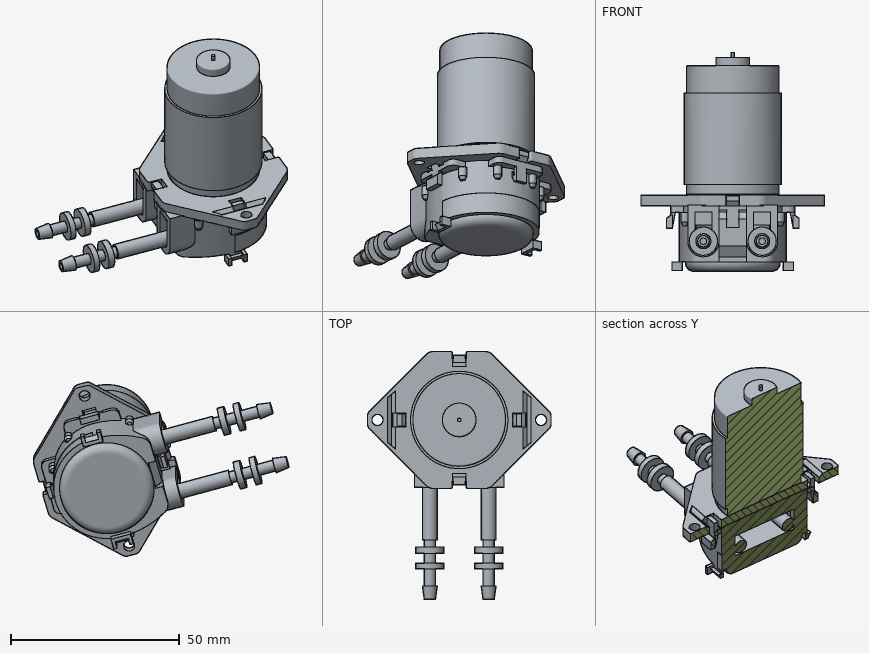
import cadquery as cq
import math


OVERALL_LENGTH = 73.55

PLATE_THICKNESS = 3.2
PLATE_HALF_X = 54.5 / 2
PLATE_HALF_Y = 40.7 / 2
PLATE_DIAGONAL = 29.3
PLATE_END_RADIUS = 2.0
PLATE_SIDE_RADIUS = 2.95
SCREW_HOLE_DIAMETER = 3.2
SCREW_HOLE_X = 24.3

WINDOW_WIDTH = 4.05
WINDOW_INNER = 15.9
WINDOW_OUTER_X = 20.0
NOTCH_MOUTH_RADIUS = 0.5

GROOVE_INNER_X = 18.9
GROOVE_OUTER_X = 21.3
GROOVE_DEPTH = 1.1
GROOVE_INNER_HALF_LENGTH = 8.6
GROOVE_OUTER_HALF_LENGTH = 6.6

PAD_HEIGHT = 1.9
PAD_HALF_WIDTH = 8.5
PAD_OUTER_X = 18.45
PAD_OUTER_Y = 18.25
PAD_RADIUS = 2.0
FRONT_PAD_HEIGHT = 1.2
PAD_RELIEF_HALF_WIDTH = 4.0
PAD_RELIEF_HEIGHT = 0.45
PAD_RELIEF_INNER_X = 17.35

ARM_WIDTH = 3.6
ARM_TOP = 3.0
ARM_BOTTOM = -6.4
SIDE_ARM_BOTTOM = -6.6
GUSSET_TOP = 1.1
ARM_INNER = 17.0
SIDE_HOOK_WIDTH = 5.7
SIDE_HOOK_OUTER_X = 19.7
SIDE_HOOK_TOP = -2.7
SIDE_HOOK_SHOULDER = -3.7
SIDE_FOOT_INNER_X = 17.95
END_HOOK_TIP_Y = 16.0
END_HOOK_TOP = -4.2
END_HOOK_TIP_BOTTOM = -4.7
TAB_OUTER_Y = 19.3
TAB_UNDERSIDE = 1.5

MOTOR_END_DIAMETER = 27.5
MOTOR_BODY_DIAMETER = 28.9
MOTOR_BODY_BOTTOM = 6.3
MOTOR_BODY_TOP = 33.5
MOTOR_TOP = 41.6
MOTOR_EDGE = 0.4
MOTOR_BOSS_DIAMETER = 10.0
MOTOR_BOSS_TOP = 44.1
SHAFT_DIAMETER = 1.0
SHAFT_TOP = 45.6

HEAD_RADIUS = 15.9
HEAD_FLOOR = -16.55
HEAD_FRONT_Y = -16.1
HEAD_FLANK_RADIUS = 29.05
HEAD_FRONT_CORNER_RADIUS = 3.2
DISH_DIAMETER = 28.1
DISH_BOTTOM = -19.4
DISH_EDGE_RADIUS = 2.5
CHAMBER_DIAMETER = 21.85
CHAMBER_TOP = -5.6

PORT_X = 17.4 / 2
PORT_Z = -10.45
PORT_WIDTH = 9.3
PORT_TOP = 0.2
PORT_FRONT_Y = -20.0
PORT_REAR_Y = -11.85
SLOT_WIDTH = 5.0
SLOT_TOP = -1.85
SLOT_UPPER_DEPTH = 1.85

BRIDGE_FRONT_Y = -15.9
BRIDGE_RAMP_TOP = -1.85
BRIDGE_RAMP_BOTTOM = -3.8
BRIDGE_SLOPE_TOP = -11.85
BRIDGE_SLOPE_BOTTOM = -15.1
BRIDGE_REAR_Y = BRIDGE_FRONT_Y + BRIDGE_RAMP_TOP - BRIDGE_RAMP_BOTTOM

CATCH_Y = 16.85
CATCH_ROOT_Y = 15.45
CATCH_RAMP_BOTTOM = -3.8
CATCH_BOTTOM = -4.05
REAR_STEP_Z = -10.4
REAR_STEP_DEPTH = 0.1

PEG_DIAMETER = 2.5
PEG_CYLINDER_BOTTOM = -4.8
PEG_BOTTOM = -5.9
PEG_TIP_DIAMETER = 1.3
PEG_POSITIONS = [(14.05, -10.95), (14.05, 7.9), (6.25, 14.85)]

HANDLE_INNER_X = 14.9
HANDLE_OUTER_X = 18.1
HANDLE_BOTTOM = -19.2
HANDLE_HALF_WIDTH = 3.0
HANDLE_POST_WIDTH = 1.0
HANDLE_BAR_OUTER_X = 17.1
HANDLE_BAR_LOWER_X = 16.0
HANDLE_BAR_TOP = -17.35

HOSE_DIAMETER = 4.5
HOSE_INNER_END_Y = 6.6
HOSE_END_Y = -35.6
NECK_DIAMETER = 3.4
COLLAR_DIAMETER = 8.4
COLLAR_SPANS = [(-37.65, -39.6), (-42.5, -44.2)]
BARB_START_Y = -49.2
TIP_Y = PLATE_HALF_Y - OVERALL_LENGTH
BORE_DIAMETER = 2.0
BORE_END_Y = -32.6


def block(x_range, y_range, z_range):
    """Box between the given limits."""
    (x0, x1), (y0, y1), (z0, z1) = x_range, y_range, z_range
    return cq.Workplane("XY").box(x1 - x0, y1 - y0, z1 - z0, centered=False).translate((x0, y0, z0))


def cylinder(diameter, bottom, top):
    """Upright cylinder on the motor axis."""
    return cq.Workplane("XY").workplane(offset=bottom).circle(diameter / 2).extrude(top - bottom)


def both_x_sides(body):
    """The body together with its mirror image on the other side of X = 0."""
    return body.union(body.mirror("YZ"))


def profile_along_x(points, width):
    """Prism along X, centred on X = 0, from a (y, z) outline."""
    return cq.Workplane("YZ").polyline(points).close().extrude(width / 2, both=True)


def profile_along_y(points, width):
    """Prism along Y, centred on Y = 0, from an (x, z) outline."""
    return cq.Workplane("XZ").polyline(points).close().extrude(width / 2, both=True)


def make_motor():
    lower_end = cylinder(MOTOR_END_DIAMETER, PLATE_THICKNESS, MOTOR_BODY_BOTTOM)
    lower_end = lower_end.edges("<Z").chamfer(MOTOR_EDGE)
    upper_end = cylinder(MOTOR_END_DIAMETER, MOTOR_BODY_TOP, MOTOR_TOP).edges(">Z").fillet(MOTOR_EDGE)
    can = cylinder(MOTOR_BODY_DIAMETER, MOTOR_BODY_BOTTOM, MOTOR_BODY_TOP)
    boss = cylinder(MOTOR_BOSS_DIAMETER, MOTOR_TOP, MOTOR_BOSS_TOP).edges(">Z").fillet(MOTOR_EDGE)
    shaft = cylinder(SHAFT_DIAMETER, MOTOR_BOSS_TOP, SHAFT_TOP)
    return can.union(lower_end).union(upper_end).union(boss).union(shaft)


def head_wall(bottom):
    """Round at the rear, with flatter flanks running to a flat front with rounded corners."""
    flank_centre = HEAD_FLANK_RADIUS - HEAD_RADIUS

    def flank_x(y):
        return math.sqrt(HEAD_FLANK_RADIUS**2 - y**2) - flank_centre

    front_x = flank_x(HEAD_FRONT_Y)
    middle_y = HEAD_FRONT_Y / 2
    return (
        cq.Workplane("XY")
        .workplane(offset=bottom)
        .moveTo(HEAD_RADIUS, 0)
        .threePointArc((0, HEAD_RADIUS), (-HEAD_RADIUS, 0))
        .threePointArc((-flank_x(middle_y), middle_y), (-front_x, HEAD_FRONT_Y))
        .lineTo(front_x, HEAD_FRONT_Y)
        .threePointArc((flank_x(middle_y), middle_y), (HEAD_RADIUS, 0))
        .close()
        .extrude(-bottom)
        .edges("|Z and <Y")
        .fillet(HEAD_FRONT_CORNER_RADIUS)
    )


def round_bottomed(width, top, y_range):
    """Block at the +X port with a half-round underside about the port axis."""
    y0, y1 = y_range
    upper = block((PORT_X - width / 2, PORT_X + width / 2), y_range, (PORT_Z, top))
    lower = (
        cq.Workplane("XZ", origin=(PORT_X, y1, PORT_Z))
        .circle(width / 2)
        .extrude(y1 - y0)
    )
    return upper.union(lower)


def port_slots():
    """Openings for the hoses: shallow above, and open to the chamber below."""
    shallow = round_bottomed(SLOT_WIDTH, SLOT_TOP, (PORT_FRONT_Y, PORT_FRONT_Y + SLOT_UPPER_DEPTH))
    deep = round_bottomed(SLOT_WIDTH, CHAMBER_TOP, (PORT_FRONT_Y, 0))
    return both_x_sides(shallow.union(deep))


def bridge_gap_and_wall():
    """The gap cut between the ports, and the sloped wall that stands in it."""
    half_width = PORT_X - PORT_WIDTH / 2
    gap = block((-half_width, half_width), (PORT_FRONT_Y, BRIDGE_REAR_Y), (HEAD_FLOOR, PORT_TOP))
    wall = profile_along_x(
        [
            (BRIDGE_REAR_Y, BRIDGE_RAMP_TOP),
            (BRIDGE_FRONT_Y, BRIDGE_RAMP_BOTTOM),
            (BRIDGE_FRONT_Y, BRIDGE_SLOPE_TOP),
            (BRIDGE_REAR_Y, BRIDGE_SLOPE_BOTTOM),
        ],
        2 * half_width,
    )
    return gap, wall


def rear_catch():
    """Wedge on the rear wall that the hook of the rear arm snaps under."""
    ramp_height = CATCH_Y - CATCH_ROOT_Y
    return profile_along_x(
        [
            (CATCH_ROOT_Y, CATCH_RAMP_BOTTOM + ramp_height),
            (CATCH_Y, CATCH_RAMP_BOTTOM),
            (CATCH_Y, CATCH_BOTTOM),
            (CATCH_ROOT_Y, CATCH_BOTTOM),
        ],
        ARM_WIDTH,
    )


def rear_step():
    """Sliver removed from the lower part of the rear wall, which leaves a shallow step."""
    outside = block((-HEAD_RADIUS, HEAD_RADIUS), (0, HEAD_RADIUS), (HEAD_FLOOR, REAR_STEP_Z))
    kept = cylinder(2 * (HEAD_RADIUS - REAR_STEP_DEPTH), HEAD_FLOOR, REAR_STEP_Z)
    return outside.cut(kept)


def dish():
    bottom = cylinder(DISH_DIAMETER, DISH_BOTTOM, HEAD_FLOOR)
    return bottom.faces("<Z").edges().fillet(DISH_EDGE_RADIUS)


def peg(x, y):
    """Boss on the head wall with a tapered lower end."""
    straight = cylinder(PEG_DIAMETER, PEG_CYLINDER_BOTTOM, -PAD_HEIGHT)
    taper = cq.Workplane("XY").add(
        cq.Solid.makeCone(
            PEG_TIP_DIAMETER / 2,
            PEG_DIAMETER / 2,
            PEG_CYLINDER_BOTTOM - PEG_BOTTOM,
            pnt=cq.Vector(0, 0, PEG_BOTTOM),
        )
    )
    return straight.union(taper).translate((x, y, 0))


def handle():
    """Two posts at +X, joined by a bar under a short extension of the head wall."""
    inner_y = HANDLE_HALF_WIDTH - HANDLE_POST_WIDTH
    bar = profile_along_y(
        [
            (HANDLE_INNER_X, HANDLE_BAR_TOP),
            (HANDLE_BAR_OUTER_X, HANDLE_BAR_TOP),
            (HANDLE_BAR_LOWER_X, HANDLE_BOTTOM),
            (HANDLE_INNER_X, HANDLE_BOTTOM),
        ],
        2 * inner_y,
    )
    extension = head_wall(HANDLE_BAR_TOP).intersect(
        block((HANDLE_INNER_X, HANDLE_OUTER_X), (-inner_y, inner_y), (HANDLE_BAR_TOP, HEAD_FLOOR))
    )
    post = block(
        (HANDLE_INNER_X, HANDLE_OUTER_X), (inner_y, HANDLE_HALF_WIDTH), (HANDLE_BOTTOM, HEAD_FLOOR)
    )
    return bar.union(extension).union(post).union(post.mirror("XZ"))


def hose():
    """Hose and barbed connector at +X, turned about the port axis."""
    profile = [
        (0, HOSE_INNER_END_Y),
        (HOSE_DIAMETER / 2, HOSE_INNER_END_Y),
        (HOSE_DIAMETER / 2, HOSE_END_Y),
        (NECK_DIAMETER / 2, HOSE_END_Y),
    ]
    for near, far in COLLAR_SPANS:
        profile += [
            (NECK_DIAMETER / 2, near),
            (COLLAR_DIAMETER / 2, near),
            (COLLAR_DIAMETER / 2, far),
            (NECK_DIAMETER / 2, far),
        ]
    profile += [
        (NECK_DIAMETER / 2, BARB_START_Y),
        (HOSE_DIAMETER / 2, BARB_START_Y),
        (NECK_DIAMETER / 2, TIP_Y),
        (BORE_DIAMETER / 2, TIP_Y),
        (BORE_DIAMETER / 2, BORE_END_Y),
        (0, BORE_END_Y),
    ]
    turned = cq.Workplane("XY").polyline(profile).close().revolve(360, (0, 0, 0), (0, 1, 0))
    return turned.translate((PORT_X, 0, PORT_Z))


def make_head():
    gap, wall = bridge_gap_and_wall()
    ports = both_x_sides(round_bottomed(PORT_WIDTH, PORT_TOP, (PORT_FRONT_Y, PORT_REAR_Y)))
    chamber = cylinder(CHAMBER_DIAMETER, PORT_Z - SLOT_WIDTH / 2, CHAMBER_TOP)
    head = head_wall(HEAD_FLOOR).cut(rear_step()).union(ports)
    head = head.cut(gap).union(wall).union(dish()).union(rear_catch())
    for x, y in PEG_POSITIONS:
        head = head.union(both_x_sides(peg(x, y)))
    head = head.union(both_x_sides(handle()))
    head = head.cut(port_slots()).cut(chamber)
    return head.union(both_x_sides(hose()))


def plate_blank():
    """Octagon with 45 degree edges: two short ends at X and two longer sides at Y."""
    end_y = PLATE_DIAGONAL - PLATE_HALF_X
    side_x = PLATE_DIAGONAL - PLATE_HALF_Y
    quarter = [(PLATE_HALF_X, end_y), (side_x, PLATE_HALF_Y)]
    rear = quarter + [(-x, y) for x, y in reversed(quarter)]
    front = [(-x, -y) for x, y in rear]
    blank = cq.Workplane("XY").polyline(rear + front).close().extrude(PLATE_THICKNESS)
    for ends, radius in [("<X or >X", PLATE_END_RADIUS), ("<Y or >Y", PLATE_SIDE_RADIUS)]:
        blank = blank.faces(ends).edges("|Z").fillet(radius)
    return blank


def plate_notch():
    """Cut-out that is open at the +Y side of the plate."""
    half_width = WINDOW_WIDTH / 2
    return block((-half_width, half_width), (WINDOW_INNER, PLATE_HALF_Y), (0, PLATE_THICKNESS))


def plate_window():
    """Closed cut-out at +X."""
    half_width = WINDOW_WIDTH / 2
    return block((WINDOW_INNER, WINDOW_OUTER_X), (-half_width, half_width), (0, PLATE_THICKNESS))


def plate_groove():
    """V-groove at +X, whose ends follow the diagonal edges of the plate."""
    middle_x = (GROOVE_INNER_X + GROOVE_OUTER_X) / 2
    vee = profile_along_y(
        [
            (GROOVE_INNER_X, PLATE_THICKNESS),
            (GROOVE_OUTER_X, PLATE_THICKNESS),
            (middle_x, PLATE_THICKNESS - GROOVE_DEPTH),
        ],
        2 * GROOVE_INNER_HALF_LENGTH,
    )
    plan = [
        (GROOVE_INNER_X, -GROOVE_INNER_HALF_LENGTH),
        (GROOVE_OUTER_X, -GROOVE_OUTER_HALF_LENGTH),
        (GROOVE_OUTER_X, GROOVE_OUTER_HALF_LENGTH),
        (GROOVE_INNER_X, GROOVE_INNER_HALF_LENGTH),
    ]
    return vee.intersect(cq.Workplane("XY").polyline(plan).close().extrude(PLATE_THICKNESS))


def side_pad():
    """Pad at +X with rounded outer corners and a relief beside each edge of its arm."""
    pad = block((0, PAD_OUTER_X), (-PAD_HALF_WIDTH, PAD_HALF_WIDTH), (-PAD_HEIGHT, 0))
    pad = pad.faces(">X").edges("|Z").fillet(PAD_RADIUS)
    relief = block(
        (PAD_RELIEF_INNER_X, PAD_OUTER_X),
        (-PAD_RELIEF_HALF_WIDTH, PAD_RELIEF_HALF_WIDTH),
        (-PAD_RELIEF_HEIGHT, 0),
    )
    return pad.cut(relief)


def rear_pad():
    pad = block((-PAD_HALF_WIDTH, PAD_HALF_WIDTH), (0, PAD_OUTER_Y), (-PAD_HEIGHT, 0))
    return pad.faces(">Y").edges("|Z").fillet(PAD_RADIUS)


def front_pad():
    """Thin pad that fits between the two port blocks of the head."""
    half_width = PORT_X - PORT_WIDTH / 2
    return block((-half_width, half_width), (-PAD_OUTER_Y, BRIDGE_REAR_Y), (-FRONT_PAD_HEIGHT, 0))


def side_arm():
    """Snap arm at +X: a narrow stem and a wide foot with an outward hook."""
    stem = profile_along_y(
        [
            (ARM_INNER, ARM_TOP),
            (PAD_OUTER_X, ARM_TOP),
            (PAD_OUTER_X, SIDE_ARM_BOTTOM),
            (SIDE_FOOT_INNER_X, SIDE_ARM_BOTTOM),
            (ARM_INNER, -PAD_HEIGHT),
            (WINDOW_INNER, -PAD_HEIGHT),
            (WINDOW_INNER, 0),
            (ARM_INNER, GUSSET_TOP),
        ],
        ARM_WIDTH,
    )
    hook = profile_along_y(
        [
            (PAD_OUTER_X, SIDE_HOOK_TOP),
            (SIDE_HOOK_OUTER_X, SIDE_HOOK_SHOULDER),
            (SIDE_HOOK_OUTER_X, SIDE_ARM_BOTTOM),
            (SIDE_FOOT_INNER_X, SIDE_ARM_BOTTOM),
            (SIDE_FOOT_INNER_X, SIDE_HOOK_TOP),
        ],
        SIDE_HOOK_WIDTH,
    )
    return stem.union(hook)


def end_arm():
    """Snap arm at +Y: a tab on top that overhangs outward, and an inward hook at the foot."""
    outline = [
        (PAD_OUTER_Y, 0),
        (TAB_OUTER_Y, TAB_UNDERSIDE),
        (TAB_OUTER_Y, ARM_TOP),
        (ARM_INNER, ARM_TOP),
        (ARM_INNER, END_HOOK_TOP),
        (END_HOOK_TIP_Y, END_HOOK_TOP),
        (END_HOOK_TIP_Y, END_HOOK_TIP_BOTTOM),
        (ARM_INNER, ARM_BOTTOM),
        (PAD_OUTER_Y, ARM_BOTTOM),
    ]
    return profile_along_x(outline, ARM_WIDTH)


def make_plate(head):
    """Plate with its pads and arms, relieved wherever the head fits into it."""
    notch = plate_notch()
    plate = plate_blank().cut(notch).cut(notch.mirror("XZ"))
    mouth_edges = cq.selectors.BoxSelector(
        (-WINDOW_WIDTH, -PLATE_HALF_X, 0), (WINDOW_WIDTH, PLATE_HALF_X, PLATE_THICKNESS)
    )
    plate = plate.faces("<Y or >Y").edges("|Z").edges(mouth_edges).fillet(NOTCH_MOUTH_RADIUS)
    plate = plate.cut(both_x_sides(plate_window())).cut(both_x_sides(plate_groove()))
    holes = [(side * SCREW_HOLE_X, 0) for side in (-1, 1)]
    plate = plate.cut(
        cq.Workplane("XY").pushPoints(holes).circle(SCREW_HOLE_DIAMETER / 2).extrude(PLATE_THICKNESS)
    )
    pads = both_x_sides(side_pad()).union(rear_pad()).cut(head_wall(HEAD_FLOOR))
    plate = plate.union(pads).union(front_pad())
    plate = plate.union(both_x_sides(side_arm())).union(end_arm()).union(end_arm().mirror("XZ"))
    return plate.cut(head)


motor = make_motor()
head = make_head()
plate = make_plate(head)

result = cq.Compound.makeCompound([body.solids().val() for body in (motor, plate, head)])